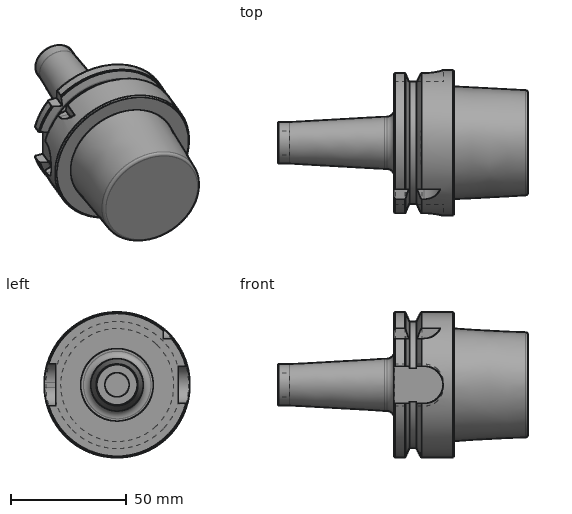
import cadquery as cq
import math

total_length = 108.0
land_end = 5.0
cone_end = 45.9
root_start = 47.0
flange_face = 50.0
flange_width = 26.0
flange_back = flange_face + flange_width

nose_radius = 18.0 / 2
cone_radius = 22.7 / 2
nose_chamfer = 0.3
bore_diameter = 10.5
bore_depth = 5.0
root_fillet = 3.2
recess_radius = 15.7

flange_radius = 63.0 / 2
flange_chamfer = 0.6
rim_width = 5.0
groove_floor_radius = 27.4
groove_wall_radius = 28.1
groove_rim_break = 0.4
groove_floor_start = flange_face + 6.8
groove_floor_end = flange_face + 9.7
groove_wall_start = groove_floor_start - 0.3
groove_wall_end = groove_floor_end + 0.3
groove_end = flange_face + 11.8

shank_root_radius = 24.4
shank_end_radius = 22.8
shank_round = 1.3

slot_floor = 26.5
front_slot_width = 16.0
front_slot_length = 21.3
rear_slot_width = 18.0
rear_slot_length = front_slot_length
rear_slot_corner = 8.0
notch_edge = 20.0
notch_corner = 8.0
notch_flat_end = flange_face + 13.0
notch_length = notch_flat_end - flange_face + notch_corner


def turned_body():
    """Revolve nose, flange and shank as one profile about X."""
    arc_turn = math.sqrt(0.5) * root_fillet
    root_top = cone_radius + root_fillet
    recess_floor = root_start + root_fillet
    profile = (
        cq.Workplane("XY")
        .lineTo(0, nose_radius - nose_chamfer)
        .lineTo(nose_chamfer, nose_radius)
        .lineTo(land_end, nose_radius)
        .lineTo(cone_end, cone_radius)
        .lineTo(root_start, cone_radius)
        .threePointArc((root_start + arc_turn, root_top - arc_turn), (recess_floor, root_top))
        .lineTo(recess_floor, recess_radius)
        .lineTo(flange_face, recess_radius)
        .lineTo(flange_face, flange_radius - flange_chamfer)
        .lineTo(flange_face + flange_chamfer, flange_radius)
        .lineTo(flange_face + rim_width - groove_rim_break / 2, flange_radius)
        .lineTo(flange_face + rim_width + groove_rim_break / 2, flange_radius - groove_rim_break)
        .lineTo(groove_wall_start, groove_wall_radius)
        .lineTo(groove_floor_start, groove_floor_radius)
        .lineTo(groove_floor_end, groove_floor_radius)
        .lineTo(groove_wall_end, groove_wall_radius)
        .lineTo(groove_end - groove_rim_break / 2, flange_radius - groove_rim_break)
        .lineTo(groove_end + groove_rim_break / 2, flange_radius)
        .lineTo(flange_back - flange_chamfer, flange_radius)
        .lineTo(flange_back, flange_radius - flange_chamfer)
        .lineTo(flange_back, shank_root_radius)
        .lineTo(total_length - shank_round, shank_end_radius)
        .radiusArc((total_length, shank_end_radius - shank_round), shank_round)
        .lineTo(total_length, 0)
        .close()
    )
    return profile.revolve(360, (0, 0, 0), (1, 0, 0))


def bore():
    """Blind hole in the nose."""
    return cq.Workplane("YZ").circle(bore_diameter / 2).extrude(bore_depth)


def front_slot():
    """Slot on the -Y side, open at the flange face, with a half-round inner end."""
    depth = flange_radius - slot_floor
    end_radius = front_slot_width / 2
    straight = front_slot_length - end_radius
    return (
        cq.Workplane("XZ", origin=(flange_face, -slot_floor, 0))
        .moveTo(0, -end_radius)
        .lineTo(straight, -end_radius)
        .threePointArc((front_slot_length, 0), (straight, end_radius))
        .lineTo(0, end_radius)
        .close()
        .extrude(depth)
    )


def rear_slot():
    """Wider slot on the +Y side, open at the flange face, with rounded inner corners."""
    depth = flange_radius - slot_floor
    return (
        cq.Workplane("XY")
        .box(rear_slot_length, depth, rear_slot_width, centered=(False, False, True))
        .edges(">X and |Y")
        .fillet(rear_slot_corner)
        .translate((flange_face, slot_floor, 0))
    )


def index_notch():
    """Corner notch in the rim whose floor curves up at its inner end."""
    reach = flange_radius - notch_edge
    return (
        cq.Workplane("XY")
        .box(notch_length, reach, reach, centered=False)
        .edges(">X and <Z")
        .fillet(notch_corner)
        .translate((flange_face, -flange_radius, notch_edge))
    )


result = (
    turned_body()
    .cut(bore())
    .cut(front_slot())
    .cut(rear_slot())
    .cut(index_notch())
)